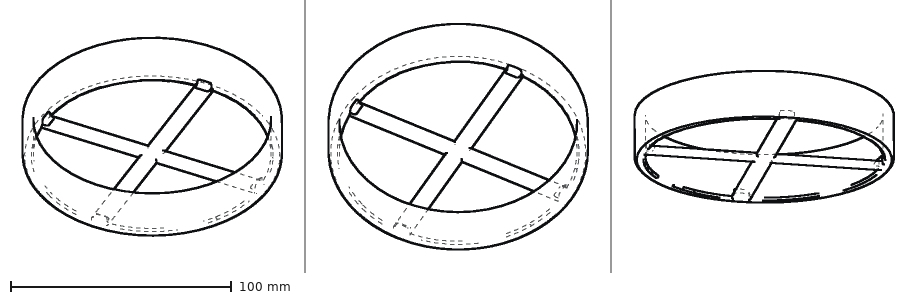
import cadquery as cq

outer_diameter = 117.5
inner_diameter = 107.5
height = 22.0
edge_radius = 1.0
bottom_chamfer = 1.0

bar_width = 8.7
bar_thickness = 1.8
bar_edge_radius = 0.76

gusset_width = 7.0
gusset_size = 2.9
gusset_edge_radius = 1.0

inner_radius = inner_diameter / 2
wall_middle_radius = (outer_diameter + inner_diameter) / 4

smallest_circle = cq.selectors.RadiusNthSelector(0)
largest_circle = cq.selectors.RadiusNthSelector(-1)
sloped_face = cq.selectors.DirectionMinMaxSelector(cq.Vector(-1, 0, 1), True)
selection_margin = 0.1


def make_ring():
    """Ring with rounded rims and a chamfered outer bottom rim, blended into the outer wall."""
    ring = cq.Workplane("XY").circle(outer_diameter / 2).circle(inner_radius).extrude(height)
    ring = ring.faces(">Z").edges().fillet(edge_radius)
    ring = ring.faces("<Z").edges(smallest_circle).fillet(edge_radius)
    ring = ring.faces("<Z").edges(largest_circle).chamfer(bottom_chamfer)
    chamfer_top = cq.selectors.BoxSelector(
        (-outer_diameter, -outer_diameter, bottom_chamfer - selection_margin),
        (outer_diameter, outer_diameter, bottom_chamfer + selection_margin),
        boundingbox=True,
    )
    return ring.edges(chamfer_top).edges(largest_circle).fillet(edge_radius)


def make_cross():
    length = 2 * wall_middle_radius
    bar_x = cq.Workplane("XY").box(length, bar_width, bar_thickness, centered=(True, True, False))
    bar_y = bar_x.rotate((0, 0, 0), (0, 0, 1), 90)
    cross = bar_x.union(bar_y)
    return cross.faces("<Z or >Z").edges().fillet(bar_edge_radius)


def make_gusset():
    """45 degree gusset on the +X bar with its sloping edges rounded."""
    toe_radius = inner_radius - gusset_size
    rise = wall_middle_radius - toe_radius
    gusset = (
        cq.Workplane("XZ", origin=(0, gusset_width / 2, bar_thickness))
        .moveTo(toe_radius, 0)
        .lineTo(wall_middle_radius, 0)
        .lineTo(wall_middle_radius, rise)
        .close()
        .extrude(gusset_width)
    )
    slope_edges = gusset.faces(sloped_face).edges("not |Y")
    return slope_edges.fillet(gusset_edge_radius)


result = make_ring().union(make_cross())
for angle in (0, 90, 180, 270):
    result = result.union(make_gusset().rotate((0, 0, 0), (0, 0, 1), angle))